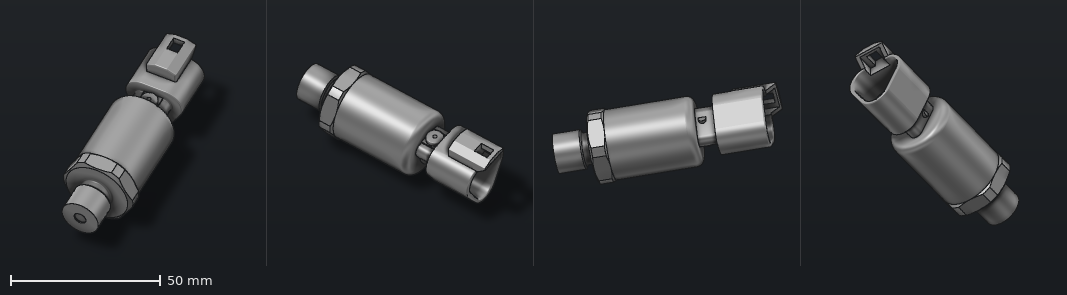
import math

import cadquery as cq


STUB_END_Y = -12.65
STUB_RADIUS = 6.8
STUB_CONE_START_Y = -3.4
STUB_CONE_END_Y = -2.95
STUB_CONE_SMALL_RADIUS = 6.1
UNDERCUT_RADIUS = 5.5
UNDERCUT_STUB_FILLET = STUB_CONE_SMALL_RADIUS - UNDERCUT_RADIUS
UNDERCUT_FACE_FILLET = 0.85
BORE_DIAMETER = 4.4
BORE_DEPTH = 0.5

HEX_LENGTH = 6.0
HEX_ACROSS_FLATS = 24.0
HEX_CORNER_RADIUS = 13.0
HEX_FACE_RADIUS = 11.5
HEX_CHAMFER_ANGLE = 30.0

BODY_RADIUS = HEX_ACROSS_FLATS / 2
BODY_END_Y = 36.05
BODY_FILLET = 2.5

TRIANGLE_SIDE = 8.5
CONNECTOR_CORNER_RADIUS = 6.41
CONNECTOR_START_Y = 42.65
CONNECTOR_END_Y = 59.95
CONNECTOR_EDGE_FILLET = 0.5
NECK_CORNER_RADIUS = 2.55
NECK_FILLET = 0.55

LATCH_START_Y = 48.2
LATCH_END_Y = 63.48
LATCH_BASE_Z = 8.2
LATCH_SHOULDER_Z = 12.2
LATCH_TOP_Z = 13.48
LATCH_HALF_WIDTH = 5.6
LATCH_FLAT_HALF_WIDTH = 2.2
LATCH_NOSE_BOTTOM_Z = 11.45
LATCH_REAR_FILLET = 0.7
LATCH_LONG_FILLET = 0.2

WINDOW_HALF_WIDTH = 2.0
WINDOW_START_Y = 56.7
WINDOW_END_Y = 61.75

SOCKET_WALL = 1.5
SOCKET_FLOOR_Y = LATCH_START_Y
SOCKET_MOUTH_FILLET = 0.5

CHANNEL_HALF_WIDTH = 4.0
CHANNEL_TOP_Z = 10.9

PAD_HALF_WIDTH = 3.5
PAD_TOP_Z = 5.5
BUTTON_Y = 39.15
BUTTON_RADIUS = 3.07
BUTTON_TOP_Z = 6.9
BUTTON_FILLET = 0.4
DIMPLE_RADIUS = 0.7
DIMPLE_DEPTH = 0.5

PIN_Y = 38.3
PIN_Z = -1.0
PIN_RADIUS = 1.35
PIN_HALF_LENGTH = 5.55


def polar(center, radius, angle):
    """Point at the given angle (degrees) on a circle in the XZ plane."""
    turn = math.radians(angle)
    return (center[0] + radius * math.cos(turn), center[1] + radius * math.sin(turn))


def section_plane(y):
    """XZ plane at the given Y, with local x = X, local y = Z and its normal along -Y."""
    return cq.Workplane("XZ", origin=(0, y, 0))


def rounded_triangle(corner_radius, start_y, end_y):
    """Prism along Y: an equilateral triangle, point down, with rounded corners."""
    circumradius = TRIANGLE_SIDE / math.sqrt(3)
    right, left, bottom = (polar((0, 0), circumradius, angle) for angle in (30, 150, 270))
    outline = (
        section_plane(start_y)
        .moveTo(*polar(left, corner_radius, 90))
        .lineTo(*polar(right, corner_radius, 90))
        .threePointArc(polar(right, corner_radius, 30), polar(right, corner_radius, -30))
        .lineTo(*polar(bottom, corner_radius, -30))
        .threePointArc(polar(bottom, corner_radius, -90), polar(bottom, corner_radius, -150))
        .lineTo(*polar(left, corner_radius, 210))
        .threePointArc(polar(left, corner_radius, 150), polar(left, corner_radius, 90))
        .close()
    )
    return outline.extrude(start_y - end_y)


def around_axis(profile):
    """Turn a closed (radius, Y) profile around the Y axis."""
    return profile.revolve(360, (0, 0, 0), (0, 1, 0))


def block(half_width, start_y, end_y, top_z):
    """Block centred on X = 0, rising from the axis to the given height."""
    middle = (0, (start_y + end_y) / 2, 0)
    return cq.Workplane("XY", origin=middle).rect(2 * half_width, end_y - start_y).extrude(top_z)


def on_plane(y, outline):
    """Selector for the edges in the plane at the given Y that lie within an outline's extent."""
    box = outline.val().BoundingBox()
    margin = 0.01
    return cq.selectors.BoxSelector(
        (box.xmin - margin, y - margin, box.zmin - margin),
        (box.xmax + margin, y + margin, box.zmax + margin),
        boundingbox=True,
    )


def make_stub():
    middle = math.sqrt(0.5)
    stub_fillet_rise = UNDERCUT_STUB_FILLET * (1 - middle)
    face_fillet_rise = UNDERCUT_FACE_FILLET * (1 - middle)
    stub = around_axis(
        cq.Workplane("XY")
        .moveTo(0, STUB_END_Y)
        .lineTo(STUB_RADIUS, STUB_END_Y)
        .lineTo(STUB_RADIUS, STUB_CONE_START_Y)
        .lineTo(STUB_CONE_SMALL_RADIUS, STUB_CONE_END_Y)
        .threePointArc(
            (UNDERCUT_RADIUS + stub_fillet_rise, STUB_CONE_END_Y + stub_fillet_rise),
            (UNDERCUT_RADIUS, STUB_CONE_END_Y + UNDERCUT_STUB_FILLET),
        )
        .lineTo(UNDERCUT_RADIUS, -UNDERCUT_FACE_FILLET)
        .threePointArc(
            (UNDERCUT_RADIUS + face_fillet_rise, -face_fillet_rise),
            (UNDERCUT_RADIUS + UNDERCUT_FACE_FILLET, 0),
        )
        .lineTo(0, 0)
        .close()
    )
    bore = section_plane(STUB_END_Y).circle(BORE_DIAMETER / 2).extrude(-BORE_DEPTH)
    return stub.cut(bore)


def make_hexagon():
    slope = math.tan(math.radians(HEX_CHAMFER_ANGLE))
    front_chamfer = (HEX_CORNER_RADIUS - HEX_FACE_RADIUS) * slope
    back_chamfer = (HEX_CORNER_RADIUS - BODY_RADIUS) * slope
    across_corners = HEX_ACROSS_FLATS / math.cos(math.radians(30))
    prism = section_plane(0).polygon(6, across_corners).extrude(-HEX_LENGTH)
    turned_blank = around_axis(
        cq.Workplane("XY")
        .moveTo(0, 0)
        .lineTo(HEX_FACE_RADIUS, 0)
        .lineTo(HEX_CORNER_RADIUS, front_chamfer)
        .lineTo(HEX_CORNER_RADIUS, HEX_LENGTH - back_chamfer)
        .lineTo(BODY_RADIUS, HEX_LENGTH)
        .lineTo(0, HEX_LENGTH)
        .close()
    )
    return prism.intersect(turned_blank)


def make_body():
    body = section_plane(HEX_LENGTH).circle(BODY_RADIUS).extrude(HEX_LENGTH - BODY_END_Y)
    return body.faces(">Y").edges().fillet(BODY_FILLET)


def make_connector():
    """Connector block with rounded ends and a plug socket with a rounded mouth."""
    connector = rounded_triangle(CONNECTOR_CORNER_RADIUS, CONNECTOR_START_Y, CONNECTOR_END_Y)
    connector = connector.faces("<Y or >Y").edges().fillet(CONNECTOR_EDGE_FILLET)
    socket_radius = CONNECTOR_CORNER_RADIUS - SOCKET_WALL
    socket = rounded_triangle(socket_radius, SOCKET_FLOOR_Y, CONNECTOR_END_Y)
    connector = connector.cut(socket)
    return connector.edges(on_plane(CONNECTOR_END_Y, socket)).fillet(SOCKET_MOUTH_FILLET)


def make_latch():
    latch = (
        section_plane(LATCH_START_Y)
        .moveTo(-LATCH_HALF_WIDTH, LATCH_BASE_Z)
        .lineTo(LATCH_HALF_WIDTH, LATCH_BASE_Z)
        .lineTo(LATCH_HALF_WIDTH, LATCH_SHOULDER_Z)
        .lineTo(LATCH_FLAT_HALF_WIDTH, LATCH_TOP_Z)
        .lineTo(-LATCH_FLAT_HALF_WIDTH, LATCH_TOP_Z)
        .lineTo(-LATCH_HALF_WIDTH, LATCH_SHOULDER_Z)
        .close()
        .extrude(LATCH_START_Y - LATCH_END_Y)
    )
    latch = latch.edges("|Y").edges("not <Z").fillet(LATCH_LONG_FILLET)
    latch = latch.faces("<Y").edges("not <Z").fillet(LATCH_REAR_FILLET)
    nose_undercut = (
        cq.Workplane("YZ")
        .moveTo(LATCH_END_Y, LATCH_NOSE_BOTTOM_Z)
        .lineTo(CONNECTOR_END_Y, LATCH_BASE_Z)
        .lineTo(LATCH_END_Y, LATCH_BASE_Z)
        .close()
        .extrude(LATCH_HALF_WIDTH, both=True)
    )
    return latch.cut(nose_undercut)


def make_pin():
    return (
        cq.Workplane("YZ")
        .center(PIN_Y, PIN_Z)
        .circle(PIN_RADIUS)
        .extrude(PIN_HALF_LENGTH, both=True)
    )


def make_pad():
    return block(PAD_HALF_WIDTH, BODY_END_Y, CONNECTOR_START_Y, PAD_TOP_Z)


def make_button():
    button = cq.Workplane("XY").center(0, BUTTON_Y).circle(BUTTON_RADIUS).extrude(BUTTON_TOP_Z)
    button = button.faces(">Z").edges().fillet(BUTTON_FILLET)
    tip = cq.Vector(0, BUTTON_Y, BUTTON_TOP_Z)
    dimple = cq.Solid.makeCone(DIMPLE_RADIUS, 0, DIMPLE_DEPTH, pnt=tip, dir=cq.Vector(0, 0, -1))
    return button.cut(cq.Workplane(dimple))


def make_channel():
    return block(CHANNEL_HALF_WIDTH, WINDOW_START_Y, LATCH_END_Y, CHANNEL_TOP_Z)


def make_window():
    return block(WINDOW_HALF_WIDTH, WINDOW_START_Y, WINDOW_END_Y, LATCH_TOP_Z)


def make_plug():
    """Connector and neck, joined by a fillet, with everything they carry."""
    neck = rounded_triangle(NECK_CORNER_RADIUS, BODY_END_Y - BODY_FILLET, CONNECTOR_START_Y)
    plug = make_connector().union(neck)
    plug = plug.edges(on_plane(CONNECTOR_START_Y, neck)).fillet(NECK_FILLET)
    plug = plug.union(make_latch())
    for opening in (make_channel(), make_window()):
        plug = plug.cut(opening)
    for raised_feature in (make_pad(), make_button(), make_pin()):
        plug = plug.union(raised_feature)
    return plug


result = make_stub()
for section in (make_hexagon(), make_body(), make_plug()):
    result = result.union(section)